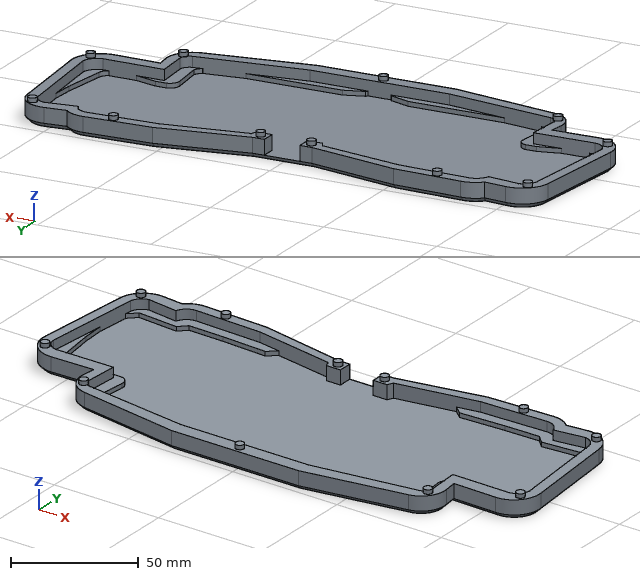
import cadquery as cq

floor_top = 2.0
ledge_top = 2 * floor_top
rim_top = 8.5
pin_top = 10.5
bottom_chamfer = 2.0

overall_width = 97.0
half_width = overall_width / 2
front_corner_radius = 11.2
side_front_corner_radius = 12.2
rear_corner_radius = 12.0
inner_corner_radius = 6.5
tight_corner_radius = 4.0
front_wall = 6.5
gap_half_width = 7.9
gap_edge_y = 39.8
post_width = 6.7
post_inner_y = 33.4
pin_diameter = 3.8
overrun = 7.1

left_pins = [(-109.4, 41.5), (-71.5, 45.5), (-11.2, 36.5), (-114.1, -16.5), (-82.7, -34.5)]
centre_pin = (0, -45.3)


def both_sides(left_half):
    """Join a left half with its mirror image."""
    return left_half.union(left_half.mirror("YZ")).clean()


def outer_body():
    """Solid block with the outer outline and a chamfered underside."""
    front_corner = (-88.5, -39.0)
    side_front_corner = (-120.3, -23.0)
    side_rear_corner = (-114.0, 47.2)
    corner_radii = {
        front_corner: front_corner_radius,
        side_front_corner: side_front_corner_radius,
        side_rear_corner: rear_corner_radius,
    }
    left_half = (
        cq.Workplane("XY")
        .moveTo(0, -half_width)
        .lineTo(-30.5, -half_width)
        .lineTo(*front_corner)
        .lineTo(-86.5, -22.5)
        .lineTo(*side_front_corner)
        .lineTo(*side_rear_corner)
        .lineTo(-92.2, 45.0)
        .radiusArc((-83.5, half_width), rear_corner_radius)
        .lineTo(-53.1, 47.5)
        .lineTo(-13.0, gap_edge_y)
        .lineTo(0, gap_edge_y)
        .close()
        .extrude(rim_top)
    )
    for (x, y), radius in corner_radii.items():
        corner_edge = cq.selectors.NearestToPointSelector((x, y, rim_top / 2))
        left_half = left_half.edges("|Z").edges(corner_edge).fillet(radius)
    return both_sides(left_half).faces("<Z").edges().chamfer(bottom_chamfer)


def wall_interior(bottom):
    """Space inside the walls, including the gap between the two rear posts."""
    front_y = front_wall - half_width
    gap_end_y = gap_edge_y + overrun
    post_outer_x = -gap_half_width - post_width
    left_half = (
        cq.Workplane("XY", origin=(0, 0, bottom))
        .moveTo(0, front_y)
        .lineTo(-30.7, front_y)
        .lineTo(-79.0, -35.3)
        .radiusArc((-82.5, -31.2), tight_corner_radius)
        .lineTo(-81.5, -16.2)
        .lineTo(-108.7, -16.5)
        .radiusArc((-114.4, -10.5), inner_corner_radius)
        .lineTo(-110.0, 35.3)
        .radiusArc((-104.8, 40.5), inner_corner_radius)
        .lineTo(-90.5, 38.5)
        .radiusArc((-84.0, 43.4), inner_corner_radius)
        .lineTo(-53.0, 42.5)
        .lineTo(-15.7, 36.0)
        .lineTo(post_outer_x, post_inner_y)
        .lineTo(-gap_half_width, post_inner_y)
        .lineTo(-gap_half_width, gap_end_y)
        .lineTo(0, gap_end_y)
        .close()
        .extrude(rim_top - bottom)
    )
    return both_sides(left_half)


def pocket_area():
    """Area of the deeper floor; where it passes the walls, the walls bound it."""
    left_half = (
        cq.Workplane("XY")
        .moveTo(0, -half_width)
        .lineTo(-5.7, -41.2)
        .lineTo(-14.5, -38.4)
        .lineTo(-74.8, -38.4)
        .lineTo(-74.8, -35.7)
        .radiusArc((-77.2, -33.0), tight_corner_radius)
        .lineTo(-75.8, -18.3)
        .radiusArc((-79.3, -13.8), -tight_corner_radius)
        .lineTo(-84.0, -13.8)
        .lineTo(-95.3, -16.7)
        .lineTo(-104.8, -16.7)
        .radiusArc((-108.7, -12.9), tight_corner_radius)
        .lineTo(-111.3, 7.1)
        .lineTo(-112.5, 30.5)
        .lineTo(-106.5, 36.2)
        .lineTo(-87.7, 34.8)
        .lineTo(-84.0, 38.4)
        .lineTo(-67.7, 38.1)
        .lineTo(-46.7, 37.2)
        .lineTo(-40.5, 42.5)
        .lineTo(0, half_width)
        .close()
        .extrude(rim_top)
    )
    return both_sides(left_half)


def pins():
    """Round pins standing on the rim."""
    right_pins = [(-x, y) for x, y in left_pins]
    return (
        cq.Workplane("XY", origin=(0, 0, rim_top))
        .pushPoints(left_pins + right_pins + [centre_pin])
        .circle(pin_diameter / 2)
        .extrude(pin_top - rim_top)
    )


ledge_cut = wall_interior(ledge_top)
floor_cut = wall_interior(floor_top).intersect(pocket_area())
result = outer_body().cut(ledge_cut).cut(floor_cut).union(pins())